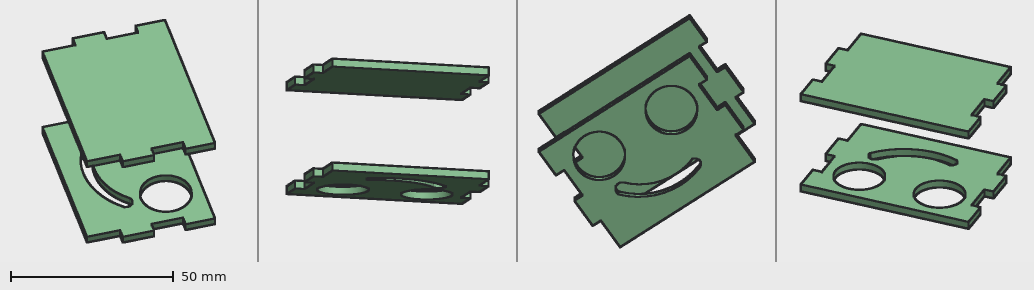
import cadquery as cq

LENGTH = 56.0
WIDTH = 40.0
HEIGHT = 35.0
THICKNESS = 2.5

FINGER_DEPTH = 3.0
FINGER_PITCH = 10.0
REAR_FINGER = 9.4

EYE_DIAMETER = 15.9
EYE_X = 13.4
EYE_Y = 8.45

MOUTH_LEFT_UPPER = (-9.75, -8.45)
MOUTH_LEFT_TIP = (-11.2, -10.3)
MOUTH_LEFT_LOWER = (-9.75, -12.1)
MOUTH_LOWER_MIDDLE = (3.65, -12.75)
MOUTH_RIGHT_LOWER = (15.55, -5.4)
MOUTH_RIGHT_TIP = (15.0, -2.9)
MOUTH_RIGHT_UPPER = (12.25, -2.8)
MOUTH_UPPER_MIDDLE = (2.25, -9.1)


def make_plate(bottom_z):
    """Make a plate with two protruding fingers on each short side."""
    rear_y = WIDTH / 2
    notch_rear_y = rear_y - REAR_FINGER
    notch_front_y = notch_rear_y - FINGER_PITCH
    finger_front_y = notch_front_y - FINGER_PITCH
    body_length = LENGTH - 2 * FINGER_DEPTH

    plate = (
        cq.Workplane("XY", origin=(0, 0, bottom_z))
        .rect(body_length, WIDTH)
        .extrude(THICKNESS)
    )
    for front_y, back_y in ((notch_rear_y, rear_y), (finger_front_y, notch_front_y)):
        fingers = (
            cq.Workplane("XY", origin=(0, (front_y + back_y) / 2, bottom_z))
            .rect(LENGTH, back_y - front_y)
            .extrude(THICKNESS)
        )
        plate = plate.union(fingers)
    return plate


def cut_eyes(plate):
    """Cut the two round through holes."""
    return (
        plate.faces(">Z")
        .workplane(origin=(0, 0, 0))
        .pushPoints([(-EYE_X, EYE_Y), (EYE_X, EYE_Y)])
        .hole(EYE_DIAMETER)
    )


def cut_mouth(plate, bottom_z):
    """Cut the tilted, curved through slot with rounded ends."""
    mouth = (
        cq.Workplane("XY", origin=(0, 0, bottom_z))
        .moveTo(*MOUTH_LEFT_UPPER)
        .threePointArc(MOUTH_LEFT_TIP, MOUTH_LEFT_LOWER)
        .threePointArc(MOUTH_LOWER_MIDDLE, MOUTH_RIGHT_LOWER)
        .threePointArc(MOUTH_RIGHT_TIP, MOUTH_RIGHT_UPPER)
        .threePointArc(MOUTH_UPPER_MIDDLE, MOUTH_LEFT_UPPER)
        .close()
        .extrude(THICKNESS)
    )
    return plate.cut(mouth)


lower_z = -HEIGHT / 2
upper_z = HEIGHT / 2 - THICKNESS

face_plate = cut_mouth(cut_eyes(make_plate(lower_z)), lower_z)
plain_plate = make_plate(upper_z)

result = cq.Compound.makeCompound([face_plate.val(), plain_plate.val()])